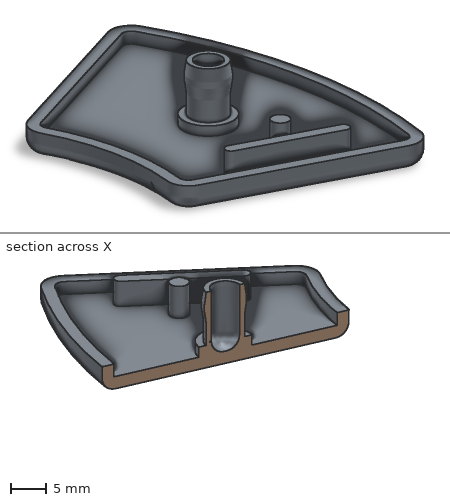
import cadquery as cq
import math

OUTER_RADIUS = 80.0
INNER_RADIUS = OUTER_RADIUS / 2
RING_CENTRE_Y = -(OUTER_RADIUS + INNER_RADIUS) / 2
HALF_ANGLE = math.radians(22.5)
CORNER_RADIUS = 3.55
TRAY_HEIGHT = 4.0
BOTTOM_FILLET = 2.2
RIM_WIDTH = 2.0
FLOOR_THICKNESS = 2.0

POST_RADIUS = 6.3 / 2
BARB_RADIUS = 6.9 / 2
COLLAR_RADIUS = 8.7 / 2
POST_ROOT = FLOOR_THICKNESS / 2
COLLAR_TOP = 3.6
BARB_START = 7.0
BARB_LOWER = 8.95
BARB_UPPER = 10.0
POST_TOP = 12.0
BORE_RADIUS = 4.5 / 2
BORE_BOTTOM = FLOOR_THICKNESS
BORE_FILLET = 2.0

PIN_X = 14.0
PIN_DIAMETER = 3.0
PIN_TOP = 7.0

RIB_CENTRE = (17.6, -2.4)
RIB_WIDTH = 2.0
RIB_LENGTH = 19.65
RIB_TOP = 5.95


def ring_point(radius, angle):
    """Point on the ring, with the angle measured from +Y toward +X."""
    return (radius * math.sin(angle), RING_CENTRE_Y + radius * math.cos(angle))


def sector_outline():
    """Sharp-cornered ring sector on the XY plane."""
    return (
        cq.Workplane("XY")
        .moveTo(*ring_point(INNER_RADIUS, -HALF_ANGLE))
        .lineTo(*ring_point(OUTER_RADIUS, -HALF_ANGLE))
        .threePointArc(ring_point(OUTER_RADIUS, 0), ring_point(OUTER_RADIUS, HALF_ANGLE))
        .lineTo(*ring_point(INNER_RADIUS, HALF_ANGLE))
        .threePointArc(ring_point(INNER_RADIUS, 0), ring_point(INNER_RADIUS, -HALF_ANGLE))
        .close()
    )


def make_tray():
    body = sector_outline().extrude(TRAY_HEIGHT).edges("|Z").fillet(CORNER_RADIUS)
    pocket = (
        body.faces(">Z").wires().toPending()
        .offset2D(-RIM_WIDTH)
        .extrude(FLOOR_THICKNESS - TRAY_HEIGHT, combine=False)
    )
    return body.faces("<Z").edges().fillet(BOTTOM_FILLET).cut(pocket)


def make_post():
    """Revolved half profile; its X is the radius and its Y is the height."""
    bore_round_start = BORE_BOTTOM + BORE_FILLET
    bore_flat_radius = BORE_RADIUS - BORE_FILLET
    arc_offset = BORE_FILLET * math.sqrt(0.5)
    return (
        cq.Workplane("XZ")
        .moveTo(0, POST_ROOT)
        .lineTo(COLLAR_RADIUS, POST_ROOT)
        .lineTo(COLLAR_RADIUS, COLLAR_TOP)
        .lineTo(POST_RADIUS, COLLAR_TOP)
        .lineTo(POST_RADIUS, BARB_START)
        .lineTo(BARB_RADIUS, BARB_LOWER)
        .lineTo(BARB_RADIUS, BARB_UPPER)
        .lineTo(POST_RADIUS, POST_TOP)
        .lineTo(BORE_RADIUS, POST_TOP)
        .lineTo(BORE_RADIUS, bore_round_start)
        .threePointArc(
            (bore_flat_radius + arc_offset, bore_round_start - arc_offset),
            (bore_flat_radius, BORE_BOTTOM),
        )
        .lineTo(0, BORE_BOTTOM)
        .close()
        .revolve(360, (0, 0, 0), (0, 1, 0))
    )


def make_pin():
    return (
        cq.Workplane("XY", origin=(PIN_X, 0, FLOOR_THICKNESS))
        .circle(PIN_DIAMETER / 2)
        .extrude(PIN_TOP - FLOOR_THICKNESS)
    )


def make_rib():
    direction = 90 - math.degrees(HALF_ANGLE)
    return (
        cq.Workplane("XY", origin=(*RIB_CENTRE, FLOOR_THICKNESS))
        .slot2D(RIB_LENGTH, RIB_WIDTH, direction)
        .extrude(RIB_TOP - FLOOR_THICKNESS)
    )


result = make_tray().union(make_post()).union(make_pin()).union(make_rib())